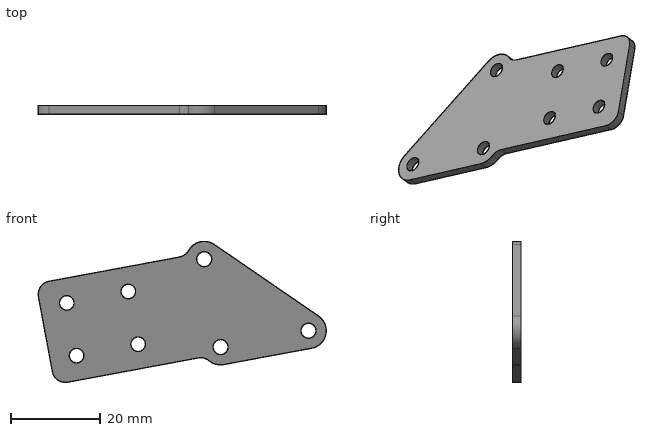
import cadquery as cq
import math


thickness = 2.0
tilt_angle = 10.53
pattern_hole_diameter = 3.2
lug_hole_diameter = 3.3

pattern_length = 14.0
pattern_width = 12.0
end_margin = 6.0
side_margin = 5.5
corner_radius = 3.0

lug_radius = 4.0
neck_radius = 3.0
lug_overhang = 2.5
lug_distance = 32.0
tip_spacing = 20.0

left = -end_margin
bottom = -side_margin
top = pattern_width + side_margin

lug_inset = lug_radius - lug_overhang
upper_lug = (lug_distance, top - lug_inset)
lower_lug = (lug_distance, bottom + lug_inset)
tip_lug = (lug_distance + tip_spacing, lower_lug[1])

pattern_holes = [(u, v) for u in (0, pattern_length) for v in (0, pattern_width)]
lug_holes = [upper_lug, lower_lug, tip_lug]

tilt = math.radians(tilt_angle)
plate_plane = cq.Plane(
    origin=(0, 0, 0),
    xDir=(math.cos(tilt), 0, math.sin(tilt)),
    normal=(0, -1, 0),
)


def polar(centre, radius, angle):
    """Point at the given angle (radians) on a circle."""
    return (centre[0] + radius * math.cos(angle), centre[1] + radius * math.sin(angle))


def neck_points(lug, side_v, outward):
    """Neck start on the long side, its middle, its end on the lug, and the lug angle there.

    outward is +1 for the upper side and -1 for the lower side.
    """
    centre_v = side_v + outward * neck_radius
    rise = centre_v - lug[1]
    run = math.sqrt((lug_radius + neck_radius) ** 2 - rise ** 2)
    centre = (lug[0] - run, centre_v)
    angle_to_side = -outward * math.pi / 2
    angle_to_lug = math.atan2(-rise, run)
    start = (centre[0], side_v)
    middle = polar(centre, neck_radius, (angle_to_side + angle_to_lug) / 2)
    end = polar(centre, neck_radius, angle_to_lug)
    return start, middle, end, angle_to_lug + outward * math.pi


def make_outline(workplane):
    """Closed outline, clockwise from the left end of the upper side; left corners still sharp."""
    upper_start, upper_middle, upper_end, upper_angle = neck_points(upper_lug, top, 1)
    lower_start, lower_middle, lower_end, lower_angle = neck_points(lower_lug, bottom, -1)

    slope = math.atan2(tip_lug[1] - upper_lug[1], tip_lug[0] - upper_lug[0])
    slope_normal = slope + math.pi / 2
    down = -math.pi / 2

    return (
        workplane
        .moveTo(left, top)
        .lineTo(*upper_start)
        .threePointArc(upper_middle, upper_end)
        .threePointArc(
            polar(upper_lug, lug_radius, (upper_angle + slope_normal) / 2),
            polar(upper_lug, lug_radius, slope_normal),
        )
        .lineTo(*polar(tip_lug, lug_radius, slope_normal))
        .threePointArc(
            polar(tip_lug, lug_radius, (slope_normal + down) / 2),
            polar(tip_lug, lug_radius, down),
        )
        .lineTo(*polar(lower_lug, lug_radius, down))
        .threePointArc(
            polar(lower_lug, lug_radius, (down + lower_angle) / 2),
            lower_end,
        )
        .threePointArc(lower_middle, lower_start)
        .lineTo(left, bottom)
        .close()
    )


def round_left_corners(plate):
    """Round the two square corners at the left end of the plate."""
    for corner_v in (bottom, top):
        corner = plate_plane.toWorldCoords((left, corner_v, -thickness / 2))
        plate = plate.edges("|Y").edges(cq.selectors.NearestToPointSelector(corner.toTuple()))
        plate = plate.fillet(corner_radius)
    return plate


def drill(plate, centres, diameter):
    """Cut through holes at the given points of the plate's own axes."""
    holes = (
        cq.Workplane(plate_plane)
        .pushPoints(centres)
        .circle(diameter / 2)
        .extrude(-thickness)
    )
    return plate.cut(holes)


plate = make_outline(cq.Workplane(plate_plane)).extrude(-thickness)
plate = round_left_corners(plate)
plate = drill(plate, pattern_holes, pattern_hole_diameter)
result = drill(plate, lug_holes, lug_hole_diameter)